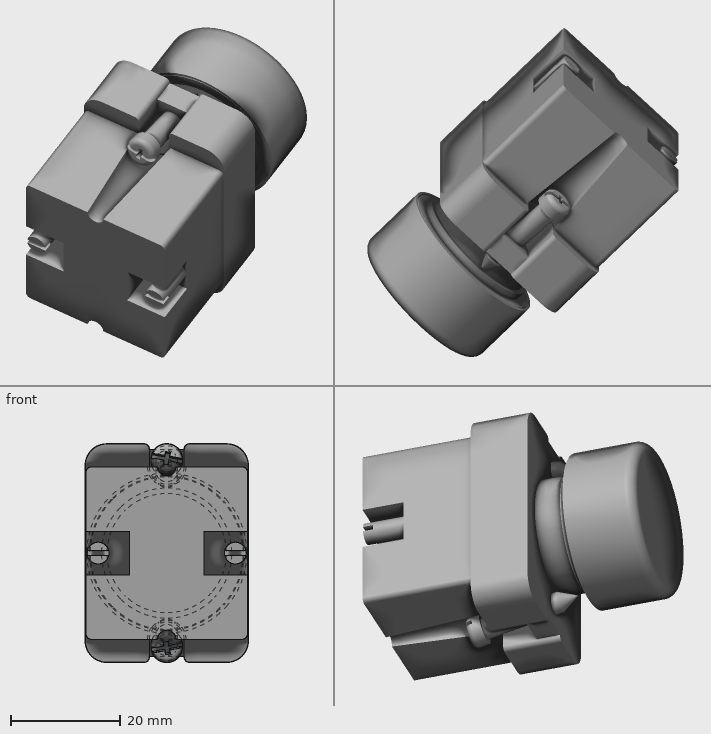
import cadquery as cq
import math


BLOCK_DEPTH = 21.05
FLANGE_DEPTH = 11.05
NECK_LENGTH = 5.25
COLLAR_THICKNESS = 1.4
CAP_FACE_Y = 52.6
FLANGE_BACK_Y = BLOCK_DEPTH + FLANGE_DEPTH
COLLAR_Y = FLANGE_BACK_Y + NECK_LENGTH
CAP_RIM_Y = COLLAR_Y + COLLAR_THICKNESS
CAP_DEPTH = CAP_FACE_Y - CAP_RIM_Y

BLOCK_WIDTH = 29.55
BLOCK_HEIGHT = 31.6
BLOCK_CORNER = 1.0
FLANGE_WIDTH = 29.95
FLANGE_HEIGHT = 40.1
FLANGE_CORNER = 4.0
NOTCH_WIDTH = 6.35
NOTCH_CORNER = 1.0
BRIDGE_DEPTH = 4.5
BRIDGE_DROP = 1.05
GROOVE_FRONT_RADIUS = 1.7
GROOVE_BACK_RADIUS = 3.5

NECK_RADIUS = 10.95
COLLAR_RADIUS = 11.95
CAP_RADIUS = 14.7
CAP_FILLET = 1.9
CAP_WALL = 0.5
CAP_CLEARANCE = 0.15
CAP_CAVITY_DEPTH = CAP_DEPTH - CAP_FILLET

POCKET_SIZE = 8.0
TERMINAL_RADIUS = 2.0
TERMINAL_X = 12.55
TERMINAL_SLOT_WIDTH = 0.9
TERMINAL_SLOT_DEPTH = 2.0

SCREW_TILT = 11.0
SCREW_TIP_Y = 36.75
SCREW_TIP_Z = 13.3
SCREW_POINT_LENGTH = 3.6
SCREW_RADIUS = 2.0
SCREW_LENGTH = 18.5
HEAD_RADIUS = 2.9
HEAD_HEIGHT = 2.9
HEAD_FILLET = 1.0
DRIVE_WIDTH = 0.9
DRIVE_DEPTH = 1.4
DRIVE_ANGLE = -10.0
CROSS_LENGTH = 2.35


def plane_at(y):
    """Plane across the axis at y, with its normal toward +Y and local x along +X."""
    return cq.Plane(origin=(0, y, 0), xDir=(1, 0, 0), normal=(0, 1, 0))


def disc(y, radius, length):
    return cq.Workplane(plane_at(y)).circle(radius).extrude(length)


def slab(y, width, height, length, corner):
    return cq.Workplane(plane_at(y)).rect(width, height).extrude(length).edges("|Y").fillet(corner)


def screw_frame(side):
    """Frame at the tip of a mounting screw, with local z running along the screw toward its head."""
    tilt = math.radians(SCREW_TILT)
    return cq.Plane(
        origin=(0, SCREW_TIP_Y, side * SCREW_TIP_Z),
        xDir=(1, 0, 0),
        normal=(0, -math.cos(tilt), side * math.sin(tilt)),
    )


def mounting_screw(side):
    """Pointed screw above (side = 1) or below (side = -1) the axis, with a slotted cross-drive head."""
    total_length = SCREW_LENGTH + HEAD_HEIGHT
    profile = (
        cq.Workplane("XZ")
        .moveTo(0, 0)
        .lineTo(SCREW_RADIUS, SCREW_POINT_LENGTH)
        .lineTo(SCREW_RADIUS, SCREW_LENGTH)
        .lineTo(HEAD_RADIUS, SCREW_LENGTH)
        .lineTo(HEAD_RADIUS, total_length - HEAD_FILLET)
        .radiusArc((HEAD_RADIUS - HEAD_FILLET, total_length), -HEAD_FILLET)
        .lineTo(0, total_length)
        .close()
    )
    screw = profile.revolve(360, (0, 0, 0), (0, 1, 0))
    drive_plane = cq.Workplane("XY", origin=(0, 0, total_length))
    slot = drive_plane.rect(2 * HEAD_RADIUS, DRIVE_WIDTH).extrude(-DRIVE_DEPTH)
    cross = drive_plane.rect(DRIVE_WIDTH, CROSS_LENGTH).extrude(-DRIVE_DEPTH)
    drive = slot.union(cross).rotate((0, 0, 0), (0, 0, 1), side * DRIVE_ANGLE)
    return screw.cut(drive).val().located(cq.Location(screw_frame(side)))


def terminal_screw(side):
    """Slotted screw standing on the floor of the pocket on the given X side."""
    body = disc(0, TERMINAL_RADIUS, POCKET_SIZE)
    slot = cq.Workplane("XY").box(2 * TERMINAL_RADIUS, 2 * TERMINAL_SLOT_DEPTH, TERMINAL_SLOT_WIDTH)
    return body.cut(slot).translate((side * TERMINAL_X, 0, 0)).val()


def flange():
    """Rounded plate with a round-bottomed notch above and below, closed at the back by a lower bridge."""
    plate = slab(BLOCK_DEPTH, FLANGE_WIDTH, FLANGE_HEIGHT, FLANGE_DEPTH, FLANGE_CORNER)
    floor_center_z = BLOCK_HEIGHT / 2
    half_notch = NOTCH_WIDTH / 2
    rim = FLANGE_HEIGHT / 2
    for side in (1, -1):
        notch = (
            cq.Workplane("XZ", origin=(0, FLANGE_BACK_Y, 0))
            .moveTo(-half_notch, side * rim)
            .lineTo(-half_notch, side * floor_center_z)
            .threePointArc((0, side * (floor_center_z - half_notch)), (half_notch, side * floor_center_z))
            .lineTo(half_notch, side * rim)
            .close()
            .extrude(FLANGE_DEPTH)
        )
        plate = plate.cut(notch)
    reach = NOTCH_CORNER / 2
    for z in (rim, -rim):
        for x in (half_notch, -half_notch):
            box = cq.selectors.BoxSelector(
                (x - reach, 0, z - reach), (x + reach, CAP_FACE_Y, z + reach)
            )
            plate = plate.edges(box).fillet(NOTCH_CORNER)
    bridges = (
        cq.Workplane(plane_at(FLANGE_BACK_Y))
        .rect(NOTCH_WIDTH, FLANGE_HEIGHT - 2 * BRIDGE_DROP)
        .extrude(-BRIDGE_DEPTH)
    )
    return plate.union(bridges)


def contact_block():
    """Block with a tapered screwdriver groove above and below and a terminal pocket on each side."""
    block = slab(0, BLOCK_WIDTH, BLOCK_HEIGHT, BLOCK_DEPTH, BLOCK_CORNER)
    pocket_x = BLOCK_WIDTH / 2 - POCKET_SIZE / 2
    for side in (1, -1):
        groove = cq.Solid.makeCone(
            GROOVE_FRONT_RADIUS,
            GROOVE_BACK_RADIUS,
            BLOCK_DEPTH,
            pnt=cq.Vector(0, 0, side * BLOCK_HEIGHT / 2),
            dir=cq.Vector(0, 1, 0),
        )
        pocket = cq.Workplane("XY").box(POCKET_SIZE, 2 * POCKET_SIZE, POCKET_SIZE)
        block = block.cut(cq.Workplane(groove)).cut(pocket.translate((side * pocket_x, 0, 0)))
    return block


def housing_body():
    """Block and flange in one piece, with a tilted hole for each mounting screw through the bridges."""
    body = contact_block().union(flange())
    for side in (1, -1):
        hole = cq.Workplane(screw_frame(side)).circle(SCREW_RADIUS).extrude(SCREW_LENGTH)
        body = body.cut(hole)
    return body.val()


def head_body():
    """Neck, collar and the disc that fills the cap with a small clearance around it."""
    core_radius = CAP_RADIUS - CAP_WALL - CAP_CLEARANCE
    neck = disc(FLANGE_BACK_Y, NECK_RADIUS, NECK_LENGTH)
    collar = disc(COLLAR_Y, COLLAR_RADIUS, COLLAR_THICKNESS)
    core = disc(CAP_RIM_Y, core_radius, CAP_CAVITY_DEPTH)
    return neck.union(collar).union(core).val()


def cap_body():
    """Cup-shaped cap, open toward the collar."""
    shell = disc(CAP_RIM_Y, CAP_RADIUS, CAP_DEPTH).faces(">Y").edges().fillet(CAP_FILLET)
    return shell.cut(disc(CAP_RIM_Y, CAP_RADIUS - CAP_WALL, CAP_CAVITY_DEPTH)).val()


housing = housing_body()
head = head_body()
cap = cap_body()
mounting_screws = [mounting_screw(side) for side in (1, -1)]
terminal_screws = [terminal_screw(side) for side in (1, -1)]

result = cq.Compound.makeCompound([housing, head, cap, *mounting_screws, *terminal_screws])